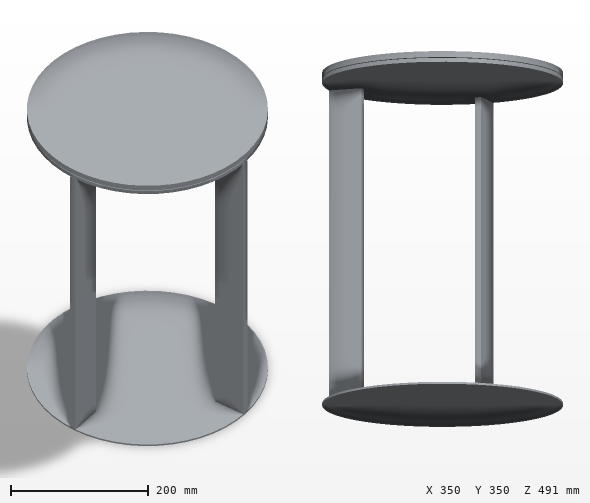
import cadquery as cq

total_height = 491.0
disc_diameter = 350.0
disc_radius = disc_diameter / 2

base_thickness = 3.0
under_top_thickness = 6.0
table_top_thickness = 9.0
top_gap = 1.0

leg_width = 50.5
leg_thickness = 10.0
front_leg_center_x = -7.5
side_leg_center_y = 0.0

table_top_bottom = total_height - table_top_thickness
under_top_bottom = table_top_bottom - top_gap - under_top_thickness
leg_height = under_top_bottom - base_thickness
leg_center_radius = disc_radius - leg_width / 2


def make_disc(bottom, thickness):
    """Round plate centered on the Z axis."""
    return cq.Workplane("XY").workplane(offset=bottom).circle(disc_radius).extrude(thickness)


def make_leg(center_x, center_y, size_x, size_y):
    """Flat upright standing on the base and reaching the underside of the top."""
    return (
        cq.Workplane("XY")
        .workplane(offset=base_thickness)
        .center(center_x, center_y)
        .rect(size_x, size_y)
        .extrude(leg_height)
    )


base = make_disc(0, base_thickness)
under_top = make_disc(under_top_bottom, under_top_thickness)
table_top = make_disc(table_top_bottom, table_top_thickness)

front_leg = make_leg(front_leg_center_x, -leg_center_radius, leg_thickness, leg_width)
side_leg = make_leg(leg_center_radius, side_leg_center_y, leg_width, leg_thickness)

result = cq.Compound.makeCompound(
    [base.val(), under_top.val(), table_top.val(), front_leg.val(), side_leg.val()]
)